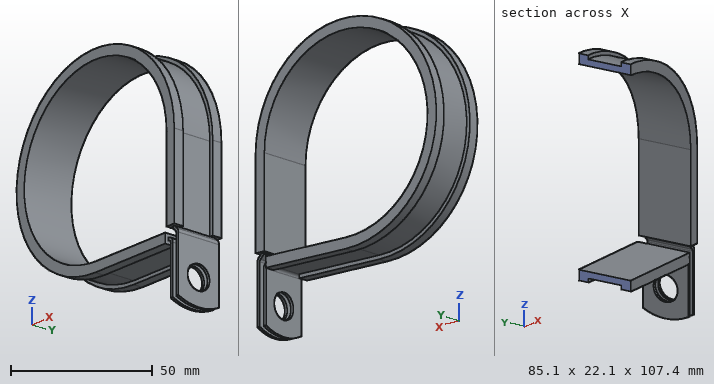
import cadquery as cq
import math

outer_radius = 42.3
cushion_thickness = 4.2
cushion_width = 22.1
horizontal_leg_end = 37.5
vertical_leg_end = -36.1

groove_width = 13.9
groove_depth = 1.5

strap_thickness = 1.2
lug_width = 19.1
lug_outer_face = 42.8
lug_bottom = -65.1
tip_height = 2.3
hole_diameter = 10.2
hole_height = -53.8
inner_bend_radius = 1.2

strap_outer = outer_radius - groove_depth
strap_inner = strap_outer - strap_thickness
outer_bend_radius = inner_bend_radius + strap_thickness


def extrude_centred(outline, width):
    """Extrude a closed XZ outline evenly to both sides of Y = 0."""
    return outline.close().extrude(width / 2, both=True)


def loop_band(outside, inside, width):
    """Three-quarter ring with a leg running along +X and a leg running along -Z."""
    diagonal = math.sqrt(0.5)
    outline = (
        cq.Workplane("XZ")
        .moveTo(horizontal_leg_end, -outside)
        .lineTo(0, -outside)
        .threePointArc((-outside * diagonal, outside * diagonal), (outside, 0))
        .lineTo(outside, vertical_leg_end)
        .lineTo(inside, vertical_leg_end)
        .lineTo(inside, 0)
        .threePointArc((-inside * diagonal, inside * diagonal), (0, -inside))
        .lineTo(horizontal_leg_end, -inside)
    )
    return extrude_centred(outline, width)


def bent_lug():
    """Lug that leaves the horizontal leg and turns down through a right angle."""
    bend_x = horizontal_leg_end
    bend_z = -strap_outer - inner_bend_radius
    outline = (
        cq.Workplane("XZ")
        .moveTo(bend_x, -strap_inner)
        .radiusArc((bend_x + outer_bend_radius, bend_z), outer_bend_radius)
        .lineTo(bend_x + outer_bend_radius, lug_bottom)
        .lineTo(bend_x + inner_bend_radius, lug_bottom)
        .lineTo(bend_x + inner_bend_radius, bend_z)
        .radiusArc((bend_x, -strap_outer), -inner_bend_radius)
    )
    return extrude_centred(outline, lug_width)


def joggled_lug():
    """Lug that steps outward at 45 degrees below the vertical leg."""
    step = lug_outer_face - strap_outer
    inner_turn = vertical_leg_end - strap_thickness * math.tan(math.radians(22.5))
    outline = (
        cq.Workplane("XZ")
        .moveTo(strap_inner, vertical_leg_end)
        .lineTo(strap_outer, vertical_leg_end)
        .lineTo(lug_outer_face, vertical_leg_end - step)
        .lineTo(lug_outer_face, lug_bottom)
        .lineTo(lug_outer_face - strap_thickness, lug_bottom)
        .lineTo(lug_outer_face - strap_thickness, inner_turn - step)
        .lineTo(strap_inner, inner_turn)
    )
    lug = extrude_centred(outline, lug_width)
    outer_corner = cq.NearestToPointSelector((lug_outer_face, 0, vertical_leg_end - step))
    inner_corner = cq.NearestToPointSelector((lug_outer_face - strap_thickness, 0, inner_turn - step))
    lug = lug.edges("|Y").edges(outer_corner).fillet(outer_bend_radius)
    return lug.edges("|Y").edges(inner_corner).fillet(inner_bend_radius)


def lug_face_trim():
    """Bar along X with the lug's rounded tip and bolt hole."""
    half_width = lug_width / 2
    corner_height = lug_bottom + tip_height
    return (
        cq.Workplane("YZ")
        .moveTo(-half_width, 0)
        .lineTo(-half_width, corner_height)
        .threePointArc((0, lug_bottom), (half_width, corner_height))
        .lineTo(half_width, 0)
        .close()
        .moveTo(0, hole_height)
        .circle(hole_diameter / 2)
        .extrude(outer_radius * 2)
    )


cushion = loop_band(outer_radius, outer_radius - cushion_thickness, cushion_width)
groove = loop_band(outer_radius, strap_outer, groove_width)
lugs = bent_lug().union(joggled_lug()).intersect(lug_face_trim())

result = cushion.cut(groove).union(lugs)